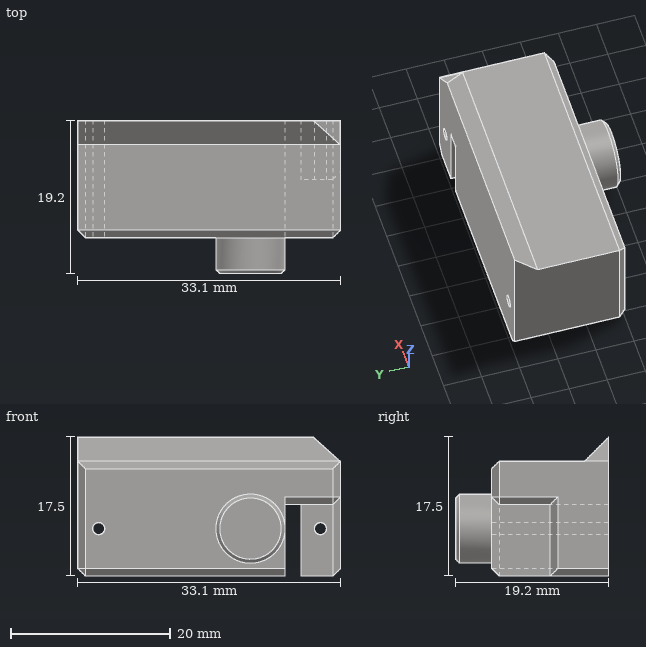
import cadquery as cq

LENGTH = 33.08
DEPTH = 14.75
BODY_HEIGHT = 14.5
CHAMFER = 1.0

RIDGE_HEIGHT = 3.0
RIDGE_END_TOP = LENGTH - 3.45
RIDGE_END_FOOT = LENGTH - 0.1

BUTTON_DIAMETER = 8.7
BUTTON_LENGTH = 4.5
BUTTON_CHAMFER = 0.5
BUTTON_X = 21.75
AXIS_HEIGHT = 6.0

SLOT_LEFT = BUTTON_X + BUTTON_DIAMETER / 2
SLOT_WIDTH = 2.0
UNDERCUT_HEIGHT = 9.0
LEG_LEFT = SLOT_LEFT + SLOT_WIDTH
LEG_DEPTH = DEPTH / 2

HOLE_DIAMETER = 1.5
HOLE_XS = (2.65, LENGTH - 2.55)


def box(left, right, front_depth, bottom, top):
    """Block from the back face forward to the given depth."""
    size = (right - left, front_depth, top - bottom)
    return cq.Workplane("XY").box(*size, centered=False).translate((left, -front_depth, bottom))


def chamfered_block(left, right, bottom, top):
    """Full-depth block with chamfered front edges and lower side edges."""
    block = box(left, right, DEPTH, bottom, top)
    return block.faces("<Y").edges().add(block.faces("<Z").edges("|Y")).chamfer(CHAMFER)


def make_body():
    left_side = box(0, SLOT_LEFT, DEPTH, 0, BODY_HEIGHT)
    right_side = box(SLOT_LEFT, LENGTH, DEPTH, 0, BODY_HEIGHT)
    main = chamfered_block(0, LENGTH, 0, BODY_HEIGHT).intersect(left_side)
    overhang = chamfered_block(0, LENGTH, UNDERCUT_HEIGHT, BODY_HEIGHT).intersect(right_side)
    return main.union(overhang)


def make_leg():
    """Leg whose top overlaps the overhang to fill its lower side chamfer."""
    leg = box(LEG_LEFT, LENGTH, LEG_DEPTH, 0, UNDERCUT_HEIGHT + CHAMFER)
    leg = leg.edges(">X and <Y").chamfer(CHAMFER)
    return leg.edges(">X and <Z").chamfer(CHAMFER)


def make_ridge():
    wedge = (
        cq.Workplane("YZ")
        .moveTo(0, BODY_HEIGHT)
        .lineTo(-RIDGE_HEIGHT, BODY_HEIGHT)
        .lineTo(0, BODY_HEIGHT + RIDGE_HEIGHT)
        .close()
        .extrude(LENGTH)
    )
    slanted_end = (
        cq.Workplane("XZ")
        .moveTo(0, BODY_HEIGHT)
        .lineTo(RIDGE_END_FOOT, BODY_HEIGHT)
        .lineTo(RIDGE_END_TOP, BODY_HEIGHT + RIDGE_HEIGHT)
        .lineTo(0, BODY_HEIGHT + RIDGE_HEIGHT)
        .close()
        .extrude(RIDGE_HEIGHT)
    )
    return wedge.intersect(slanted_end)


def make_button():
    button = (
        cq.Workplane("XZ", origin=(0, -DEPTH, 0))
        .center(BUTTON_X, AXIS_HEIGHT)
        .circle(BUTTON_DIAMETER / 2)
        .extrude(BUTTON_LENGTH)
    )
    return button.faces("<Y").chamfer(BUTTON_CHAMFER)


def make_holes():
    centers = [(x, AXIS_HEIGHT) for x in HOLE_XS]
    return cq.Workplane("XZ").pushPoints(centers).circle(HOLE_DIAMETER / 2).extrude(DEPTH)


result = make_body().union(make_leg()).union(make_ridge()).union(make_button()).cut(make_holes())